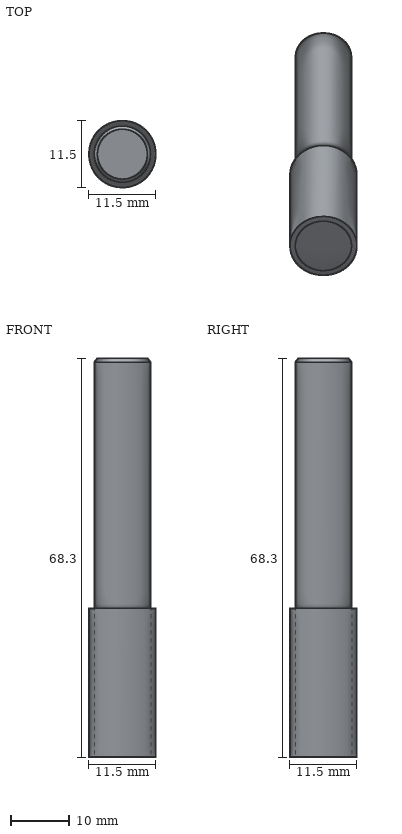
import cadquery as cq

total_length = 68.3
sleeve_diameter = 11.5
sleeve_length = 25.5
pin_diameter = 9.6

lead_in_height = 0.7
lead_in_inset = 0.55


def make_sleeve():
    """Plain tube, open at both ends, that fits closely around the pin."""
    return (
        cq.Workplane("XY")
        .circle(sleeve_diameter / 2)
        .circle(pin_diameter / 2)
        .extrude(sleeve_length)
    )


def make_pin():
    """Round pin through the full length, chamfered at its top edge."""
    pin = cq.Workplane("XY").circle(pin_diameter / 2).extrude(total_length)
    return pin.faces(">Z").edges().chamfer(lead_in_height, lead_in_inset)


sleeve = make_sleeve()
pin = make_pin()

result = cq.Compound.makeCompound([sleeve.val(), pin.val()])